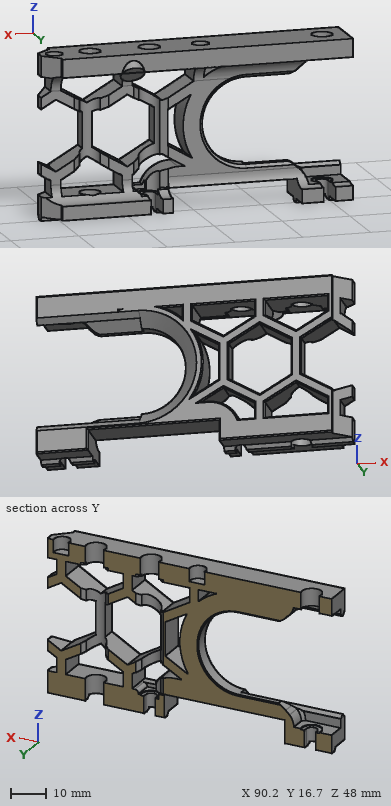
import math

import cadquery as cq

LENGTH = 90.17
DEPTH = 15.0
HEIGHT = 48.0
BASE_Z = 1.15
TOP_BAR_Z = 42.6
LOWER_BAR_Z = 5.27
WEB_DEPTH = 9.0
REAR_FILLET = 5.0
EDGE_CHAMFER = 0.4

GAP_START = 15.0
GAP_END = 53.0
GAP_TOP = 7.2

RIB_FRONT = 6.0
RIB_BACK = WEB_DEPTH
RIB_BEVEL = 0.75

NOSE_START = 85.6
NOSE_INSET = 1.6
NOSE_SLOPE = 4.2

MOUTH_X = 29.7
MOUTH_Z = 24.7
MOUTH_RADIUS = 12.7
CONE_DEPTH = 4.1
MOUTH_REAR_CHAMFER = 0.9
RING_RADIUS = 18.6

LIP_BACK = 3.0
LIP_TIP = 1.7
RECESS_DEPTH = 1.6
POCKET_FLOOR_Z = 5.77
RAMP_FOOT_X = 12.0
RAMP_RADIUS = 5.0
RAMP_LINE = 1.2
RAMP_TOP_X = 17.0
RAMP_BEVEL = 0.9

HEX_FLATS = 18.1
HEX_WALL = 2.95
HEX_CENTER_X = 64.77
HEX_CENTER_Z = 24.5
WINDOW_BOTTOM = 7.0
WINDOW_TOP = 41.9
SHOULDER_X = 49.8
SHOULDER_RADIUS = 9.4
SHOULDER_TOP = 13.0

BOLT_Y = 7.4
BOLT_DIAMETER = 6.1
SLOT_WIDTH = 3.5
SLOTTED_BOLT_X = (6.9, 57.8)
SLOT_SEAT_Z = 5.5
SLOT_FLARE = 2.0
SEAT_POCKET_END = 62.5
THROUGH_BOLT_X = 75.3
MAGNET_X = (42.8, 85.9)
MAGNET_Y = 7.65
MAGNET_DIAMETER = 4.9
MAGNET_DEPTH = 4.0

STUD_X = 64.77
STUD_Y = 14.27
STUD_Z = 42.0
STUD_DIAMETER = 7.0
STUD_LENGTH = 4.0


def box(x0, x1, y0, y1, z0, z1):
    return cq.Workplane("XY").box(x1 - x0, y1 - y0, z1 - z0, centered=False).translate((x0, y0, z0))


def prism_along_x(points, x0, x1):
    return cq.Workplane("YZ").polyline(points).close().extrude(x1 - x0).translate((x0, 0, 0))


def cylinder_along_y(x, z, radius):
    return cq.Workplane("XZ").center(x, z).circle(radius).extrude(-DEPTH)


def vertical_hole(x, y, diameter, z0, z1):
    return cq.Workplane("XY", origin=(x, y, z0)).circle(diameter / 2).extrude(z1 - z0)


def mirrored_in_mouth(shape):
    return shape.union(shape.mirror("XY", (0, 0, MOUTH_Z)))


def c_section():
    """Two bars joined by a web, with round inside corners at the rear."""
    corner_y = WEB_DEPTH + REAR_FILLET
    bend = REAR_FILLET * (1 - math.sqrt(0.5))
    return (
        cq.Workplane("YZ")
        .moveTo(0, BASE_Z)
        .lineTo(DEPTH, BASE_Z)
        .lineTo(DEPTH, LOWER_BAR_Z)
        .lineTo(corner_y, LOWER_BAR_Z)
        .threePointArc((WEB_DEPTH + bend, LOWER_BAR_Z + bend), (WEB_DEPTH, LOWER_BAR_Z + REAR_FILLET))
        .lineTo(WEB_DEPTH, TOP_BAR_Z - REAR_FILLET)
        .threePointArc((WEB_DEPTH + bend, TOP_BAR_Z - bend), (corner_y, TOP_BAR_Z))
        .lineTo(DEPTH, TOP_BAR_Z)
        .lineTo(DEPTH, HEIGHT)
        .lineTo(0, HEIGHT)
        .close()
        .extrude(LENGTH)
    )


def front_beveled(shape):
    return shape.faces("<Y").edges().chamfer(EDGE_CHAMFER)


def hexagonal_opening(x, z):
    """Hexagonal prism, corners up and down, that widens at the front face."""
    corner_diameter = HEX_FLATS / math.cos(math.pi / 6)
    front_diameter = (HEX_FLATS + 2 * EDGE_CHAMFER) / math.cos(math.pi / 6)
    prism = cq.Workplane("XZ").polygon(6, corner_diameter).extrude(-DEPTH)
    flare = cq.Workplane("XZ").polygon(6, front_diameter).extrude(-EDGE_CHAMFER, taper=45)
    return prism.union(flare).rotate((0, 0, 0), (0, 1, 0), 30).translate((x, 0, z))


def window_keep_outs():
    """Bars, ring and rounded shoulder that bound the windows, each with a beveled front edge."""
    lower_bar = box(0, 2 * LENGTH, 0, DEPTH, 0, WINDOW_BOTTOM)
    upper_bar = box(0, 2 * LENGTH, 0, DEPTH, WINDOW_TOP, 2 * HEIGHT)
    ring = cylinder_along_y(MOUTH_X, MOUTH_Z, RING_RADIUS)
    shoulder = cylinder_along_y(SHOULDER_X, SHOULDER_TOP - SHOULDER_RADIUS, SHOULDER_RADIUS)
    shoulder_back = box(0, SHOULDER_X, 0, DEPTH, 0, SHOULDER_TOP)
    shapes = (lower_bar, upper_bar, ring, shoulder, shoulder_back)
    return [front_beveled(shape) for shape in shapes]


def windows():
    """Honeycomb openings, kept clear of the bars, the ring and the rounded shoulder."""
    pitch = HEX_FLATS + HEX_WALL
    row_rise = pitch * math.sqrt(0.75)
    rows = (
        (0, (-1, 0, 1)),
        (row_rise, (-1.5, -0.5, 0.5, 1.5)),
        (-row_rise, (-0.5, 0.5, 1.5)),
    )
    keep_outs = window_keep_outs()
    openings = []
    for rise, columns in rows:
        for column in columns:
            opening = hexagonal_opening(HEX_CENTER_X + column * pitch, HEX_CENTER_Z + rise)
            for keep_out in keep_outs:
                opening = opening.cut(keep_out)
            openings.append(opening)
    return openings


def mouth():
    """Round-ended slot, open to the left, flaring at the front and slightly at the rear."""
    profile = [
        (0, 0),
        (MOUTH_RADIUS + CONE_DEPTH, 0),
        (MOUTH_RADIUS, CONE_DEPTH),
        (MOUTH_RADIUS, WEB_DEPTH - MOUTH_REAR_CHAMFER),
        (MOUTH_RADIUS + MOUTH_REAR_CHAMFER, WEB_DEPTH),
        (MOUTH_RADIUS + MOUTH_REAR_CHAMFER, DEPTH),
        (0, DEPTH),
    ]
    round_end = (
        cq.Workplane("XY").polyline(profile).close().revolve(360, (0, 0, 0), (0, 1, 0))
        .translate((MOUTH_X, 0, MOUTH_Z))
    )
    half = prism_along_x([(y, MOUTH_Z - radius) for radius, y in profile], 0, MOUTH_X)
    return round_end.union(mirrored_in_mouth(half))


def lip_recess():
    """Slab removed from the straight flanks, parallel to the flare, leaving a narrow lip."""
    tip_z = MOUTH_Z - MOUTH_RADIUS - CONE_DEPTH + LIP_TIP
    step = RECESS_DEPTH / math.sqrt(2)
    points = [
        (LIP_TIP, tip_z),
        (LIP_TIP + step, tip_z - step),
        (LIP_TIP + step + CONE_DEPTH, tip_z - step + CONE_DEPTH),
        (LIP_TIP + CONE_DEPTH, tip_z + CONE_DEPTH),
    ]
    return mirrored_in_mouth(prism_along_x(points, 0, MOUTH_X))


def lip_pocket():
    """Space behind the lips at the open end, closed by rounded ramps up to the mouth walls."""
    diagonal = math.sqrt(0.5)
    mouth_bottom = MOUTH_Z - MOUTH_RADIUS
    bend_x = RAMP_FOOT_X + RAMP_RADIUS * (1 - diagonal)
    bend_z = POCKET_FLOOR_Z + RAMP_RADIUS * diagonal
    middle_angle = math.pi / 8
    ramp_middle = (
        RAMP_FOOT_X + RAMP_RADIUS * (1 - math.cos(middle_angle)),
        POCKET_FLOOR_Z + RAMP_RADIUS * math.sin(middle_angle),
    )
    half = (
        cq.Workplane("XZ")
        .moveTo(0, POCKET_FLOOR_Z)
        .lineTo(RAMP_FOOT_X, POCKET_FLOOR_Z)
        .threePointArc(ramp_middle, (bend_x, bend_z))
        .lineTo(bend_x + RAMP_LINE, bend_z + RAMP_LINE)
        .tangentArcPoint((RAMP_TOP_X, mouth_bottom), relative=False)
        .lineTo(RAMP_TOP_X, MOUTH_Z)
        .lineTo(0, MOUTH_Z)
        .close()
        .extrude(-(DEPTH - LIP_BACK))
        .translate((0, LIP_BACK, 0))
    )
    half = half.faces("<Y").edges("not (|X or |Z)").chamfer(RAMP_BEVEL)
    return mirrored_in_mouth(half).intersect(box(0, LENGTH, 0, DEPTH, 0, TOP_BAR_Z))


def locating_rib(x0, x1):
    points = [
        (RIB_FRONT, BASE_Z),
        (RIB_FRONT + RIB_BEVEL, 0),
        (RIB_BACK, 0),
        (RIB_BACK, BASE_Z),
    ]
    return prism_along_x(points, x0, x1)


def nose_envelope():
    """Plan outline of the whole part, with the pointed right end."""
    points = [
        (0, 0),
        (NOSE_START, 0),
        (NOSE_START, NOSE_INSET),
        (LENGTH, NOSE_INSET + NOSE_SLOPE),
        (LENGTH, DEPTH - NOSE_INSET - NOSE_SLOPE),
        (NOSE_START, DEPTH - NOSE_INSET),
        (NOSE_START, DEPTH),
        (0, DEPTH),
    ]
    return cq.Workplane("XY").polyline(points).close().extrude(HEIGHT)


def rear_slot(x, width, z0, z1):
    """Vertical slot with a round front end, open to the rear."""
    round_end = vertical_hole(x, BOLT_Y, width, z0, z1)
    return round_end.union(box(x - width / 2, x + width / 2, BOLT_Y, DEPTH, z0, z1))


def web_slot(x):
    """Bolt clearance through the web, flared toward its rear face."""
    half_width = BOLT_DIAMETER / 2
    wide = half_width + SLOT_FLARE
    points = [
        (x - half_width, BOLT_Y),
        (x + half_width, BOLT_Y),
        (x + wide, WEB_DEPTH),
        (x + wide, DEPTH),
        (x - wide, DEPTH),
        (x - wide, WEB_DEPTH),
    ]
    flare = cq.Workplane("XY", origin=(0, 0, WINDOW_BOTTOM)).polyline(points).close()
    flare = flare.extrude(TOP_BAR_Z - WINDOW_BOTTOM)
    return rear_slot(x, BOLT_DIAMETER, WINDOW_BOTTOM, TOP_BAR_Z).union(flare)


def seat_pocket(x):
    """Lowered floor to the right of a bolt, behind the front wall, with a rounded rim."""
    rim = WINDOW_BOTTOM - POCKET_FLOOR_Z
    rim_bend = rim * math.sqrt(0.5)
    return (
        cq.Workplane("XZ")
        .moveTo(x, POCKET_FLOOR_Z)
        .lineTo(SEAT_POCKET_END - rim, POCKET_FLOOR_Z)
        .threePointArc(
            (SEAT_POCKET_END - rim_bend, POCKET_FLOOR_Z + rim_bend),
            (SEAT_POCKET_END, WINDOW_BOTTOM),
        )
        .lineTo(SEAT_POCKET_END, WINDOW_BOTTOM + rim)
        .lineTo(x, WINDOW_BOTTOM + rim)
        .close()
        .extrude(-(DEPTH - LIP_BACK))
        .translate((0, LIP_BACK, 0))
    )


def slotted_bolt_hole(x):
    """Hole down to a seat on the lower bar, open across the web, with a narrow slot below the seat."""
    hole = vertical_hole(x, BOLT_Y, BOLT_DIAMETER, SLOT_SEAT_Z, HEIGHT)
    return hole.union(web_slot(x)).union(rear_slot(x, SLOT_WIDTH, 0, WINDOW_BOTTOM))


def through_bolt_hole(x):
    """Hole through both bars that opens to the rear across the web."""
    hole = vertical_hole(x, BOLT_Y, BOLT_DIAMETER, 0, HEIGHT)
    return hole.union(web_slot(x))


def stud():
    """Round stud whose end face looks down and to the rear at 45 degrees."""
    end_face = cq.Plane(origin=(STUD_X, STUD_Y, STUD_Z), xDir=(1, 0, 0), normal=(0, -1, 1))
    return cq.Workplane(end_face).circle(STUD_DIAMETER / 2).extrude(STUD_LENGTH)


body = c_section()
body = body.cut(box(GAP_START, GAP_END, 0, DEPTH, 0, GAP_TOP))
body = front_beveled(body)
for window in windows():
    body = body.cut(window)
body = body.union(locating_rib(0, GAP_START)).union(locating_rib(GAP_END, LENGTH))
body = body.intersect(nose_envelope())
body = body.cut(mouth()).cut(lip_recess()).cut(lip_pocket())
for bolt_x in SLOTTED_BOLT_X:
    body = body.cut(slotted_bolt_hole(bolt_x))
body = body.cut(seat_pocket(SLOTTED_BOLT_X[1]))
body = body.cut(through_bolt_hole(THROUGH_BOLT_X))
for magnet_x in MAGNET_X:
    body = body.cut(vertical_hole(magnet_x, MAGNET_Y, MAGNET_DIAMETER, HEIGHT - MAGNET_DEPTH, HEIGHT))

result = body.union(stud())